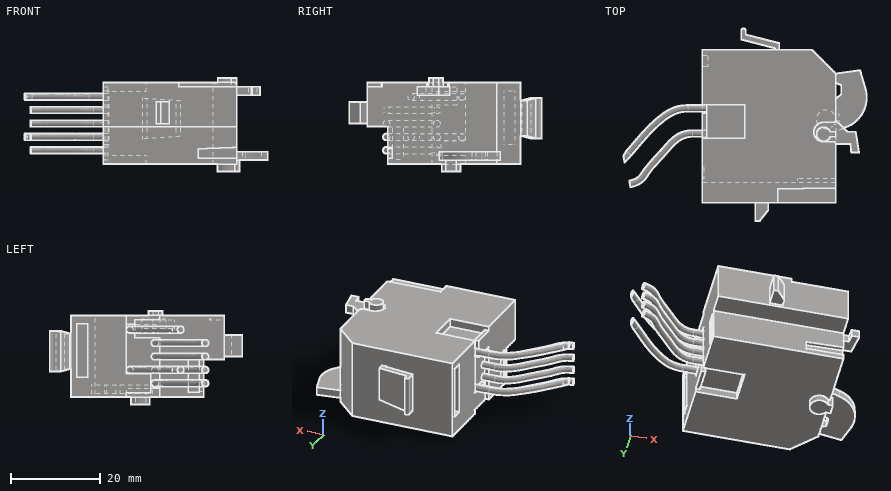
import cadquery as cq
import math


WIDTH = 29.95
DEPTH = 34.4
HEIGHT = 18.35
CORNER_CUT = 5.35
STEP_HEIGHT = 8.4
STEP_SETBACK = 4.6
RECESS = 1.0

PORT_Y0 = 14.5
PORT_Y1 = 22.05
PORT_POCKET_LENGTH = 9.5
PORT_POCKET_DEPTH = 2 * RECESS
TAB_WIDTH = 5.6
UPPER_TAB_HEIGHT = 4.1
LOWER_TAB_HEIGHT = 4.25

REAR_SLOT_Y = 30.6
REAR_SLOT_Z = 4.45
REAR_SLOT_HEIGHT = 12.0
REAR_SLOT_DEPTH = 1.25
FRONT_SLOT_Y = 5.6
FRONT_SLOT_Z = 1.15
FRONT_SLOT_DEPTH = 0.35
SLOT_WIDTH = 2.5

TOP_NOTCH_X = 16.95
TOP_NOTCH_Y_INNER = 3.15
TOP_NOTCH_Y_OUTER = 3.35
FRONT_NOTCH_X = 21.35
FRONT_NOTCH_Z = 1.3
FRONT_NOTCH_TOP_INNER = 3.45
FRONT_NOTCH_TOP_OUTER = 3.75

HOOK_X = 11.85
HOOK_WIDTH = 3.0
HOOK_TIP_WIDTH = 1.05
HOOK_REACH = 4.05
HOOK_FLANK = 1.6
HOOK_Z = 9.1
HOOK_HEIGHT = 4.9

CLIP_X = 8.75
CLIP_TIP_THICKNESS = 1.05
CLIP_ROOT_X = 17.3
CLIP_FOOT_WIDTH = 1.05
CLIP_FOOT_HEIGHT = 0.3
CLIP_REACH = 4.75
CLIP_TIP_ROUND = 0.5
CLIP_LIP_BASE = 3.4
CLIP_HEEL = 2.25
CLIP_ROOT_HEIGHT = 1.5
CLIP_Z0 = 5.75
CLIP_Z1 = 14.85
CLIP_TAPER = 0.6

LATCH_POCKET_X = 27.2
LATCH_POCKET_Y = 15.9
LATCH_POCKET_RADIUS = 2.2
LATCH_POCKET_FLARE = 0.35
LATCH_ARM_THICKNESS = 1.95
LATCH_ARM_OUTLINE = [
    (WIDTH, 18.5), (32.6, 16.0), (34.45, 16.0), (35.2, 11.25), (33.4, 11.25), (33.25, 13.2), (WIDTH, 13.2),
]
TOP_DISC_X = 27.2
TOP_DISC_Y = 15.4
TOP_DISC_RADIUS = 1.6
TOP_DISC_LUG_HALF = 0.6
TOP_DISC_RISE = 1.0

LEVER_Z0 = 0.95
LEVER_Z1 = 2.85
SECTOR_CORNER = (35.4, 29.8)
SECTOR_RIM_START = (36.6, 25.7)
SECTOR_RIM_MIDDLE = (36.55, 21.4)
SECTOR_RIM_END = (31.8, 16.85)
SECTOR_ROOT_Y = 16.2
SECTOR_WINDOW_X = 31.15
SECTOR_WINDOW_Y0 = 24.3
SECTOR_WINDOW_Y1 = 26.4
SECTOR_WINDOW_ROOT_Y0 = 23.45
SECTOR_WINDOW_ROOT_Y1 = 26.9
BOSS_X = 27.7
BOSS_Y = 18.8
BOSS_RADIUS = 2.15
BOSS_LUG_HALF = 1.2
BOSS_LUG_END = 30.6
BOSS_DROP = 1.65

WIRE_RADIUS = 0.75
WIRE_PITCH = 3.0
LOW_WIRE_Z = 3.1
REAR_WIRE_Y = 21.2
REAR_WIRE_LEVELS = [1, 4]
FRONT_WIRE_Y = 15.6
FRONT_WIRE_LEVELS = [0, 1, 2, 3]
WIRE_SLOPE = math.radians(49)
WIRE_END_ANGLE = math.radians(12)
REAR_WIRE_BEND_X = -3.3
REAR_WIRE_POINTS = [(-8.2, 19.55), (-11.4, 16.85), (-16.45, 11.15)]
REAR_WIRE_END = (-17.55, 9.8)
FRONT_WIRE_BEND_X = -2.2
FRONT_WIRE_POINTS = [(-5.45, 14.6), (-8.95, 11.1), (-12.5, 7.0), (-16.25, 4.25)]


def box(x0, x1, y0, y1, z0, z1):
    return cq.Workplane("XY").box(x1 - x0, y1 - y0, z1 - z0, centered=False).translate((x0, y0, z0))


def plate(outline, z0, z1):
    return cq.Workplane("XY").workplane(offset=z0).polyline(outline).close().extrude(z1 - z0)


def make_block():
    outline = [
        (0, 0), (WIDTH, 0), (WIDTH, DEPTH - CORNER_CUT), (WIDTH - CORNER_CUT, DEPTH), (0, DEPTH),
    ]
    block = plate(outline, 0, HEIGHT)
    return block.cut(box(0, WIDTH, 0, STEP_SETBACK, 0, STEP_HEIGHT))


def make_wire_port():
    """Volume removed for the wire port; the tabs are what remains of the channel."""
    channel = box(0, RECESS, PORT_Y0, PORT_Y1, 0, HEIGHT)
    pocket = box(0, PORT_POCKET_LENGTH, PORT_Y0, PORT_Y1, 0, PORT_POCKET_DEPTH)
    port = channel.union(pocket).union(pocket.translate((0, 0, HEIGHT - PORT_POCKET_DEPTH)))
    upper_tab_top = HEIGHT - RECESS
    upper_tab = box(0, RECESS, PORT_Y0, PORT_Y0 + TAB_WIDTH, upper_tab_top - UPPER_TAB_HEIGHT, upper_tab_top)
    lower_tab = box(0, RECESS, PORT_Y1 - TAB_WIDTH, PORT_Y1, RECESS, RECESS + LOWER_TAB_HEIGHT)
    return port.cut(upper_tab).cut(lower_tab)


def make_side_slots():
    rear = box(
        0, REAR_SLOT_DEPTH, REAR_SLOT_Y, REAR_SLOT_Y + SLOT_WIDTH,
        REAR_SLOT_Z, REAR_SLOT_Z + REAR_SLOT_HEIGHT,
    )
    front = box(0, FRONT_SLOT_DEPTH, FRONT_SLOT_Y, FRONT_SLOT_Y + SLOT_WIDTH, FRONT_SLOT_Z, STEP_HEIGHT)
    return rear.union(front)


def make_notches():
    top_outline = [
        (TOP_NOTCH_X, 0), (WIDTH, 0), (WIDTH, TOP_NOTCH_Y_OUTER), (TOP_NOTCH_X, TOP_NOTCH_Y_INNER),
    ]
    front_outline = [
        (FRONT_NOTCH_X, FRONT_NOTCH_Z), (WIDTH, FRONT_NOTCH_Z),
        (WIDTH, FRONT_NOTCH_TOP_OUTER), (FRONT_NOTCH_X, FRONT_NOTCH_TOP_INNER),
    ]
    front = (
        cq.Workplane("XZ", origin=(0, STEP_SETBACK, 0))
        .polyline(front_outline).close().extrude(-RECESS)
    )
    return plate(top_outline, HEIGHT - RECESS, HEIGHT).union(front)


def make_hook():
    right = HOOK_X + HOOK_WIDTH
    outline = [
        (HOOK_X, 0), (right, 0), (right, -HOOK_FLANK),
        (HOOK_X + HOOK_TIP_WIDTH, -HOOK_REACH), (HOOK_X, -HOOK_REACH),
    ]
    return plate(outline, HOOK_Z, HOOK_Z + HOOK_HEIGHT)


def make_clip():
    lip_right = CLIP_X + CLIP_TIP_THICKNESS
    shoulder = DEPTH + CLIP_REACH - CLIP_TIP_ROUND
    profile = (
        cq.Workplane("XY")
        .moveTo(CLIP_ROOT_X, DEPTH)
        .lineTo(CLIP_ROOT_X, DEPTH + CLIP_ROOT_HEIGHT)
        .lineTo(lip_right, DEPTH + CLIP_LIP_BASE)
        .lineTo(lip_right, shoulder)
        .threePointArc((CLIP_X + CLIP_TIP_THICKNESS / 2, DEPTH + CLIP_REACH), (CLIP_X, shoulder))
        .lineTo(CLIP_X, DEPTH + CLIP_HEEL)
        .lineTo(CLIP_ROOT_X - CLIP_FOOT_WIDTH, DEPTH + CLIP_FOOT_HEIGHT)
        .lineTo(CLIP_ROOT_X - CLIP_FOOT_WIDTH, DEPTH)
        .close().extrude(HEIGHT)
    )
    taper_outline = [
        (CLIP_X, CLIP_Z0), (CLIP_ROOT_X, CLIP_Z0 + CLIP_TAPER),
        (CLIP_ROOT_X, CLIP_Z1 - CLIP_TAPER), (CLIP_X, CLIP_Z1),
    ]
    taper = (
        cq.Workplane("XZ", origin=(0, DEPTH, 0))
        .polyline(taper_outline).close().extrude(-CLIP_REACH)
    )
    return profile.intersect(taper)


def make_latch_pocket():
    low = LATCH_POCKET_Y - LATCH_POCKET_RADIUS
    high = LATCH_POCKET_Y + LATCH_POCKET_RADIUS
    flare_x = WIDTH - LATCH_POCKET_FLARE
    return (
        cq.Workplane("XY").workplane(offset=HEIGHT - RECESS)
        .moveTo(LATCH_POCKET_X, low)
        .lineTo(flare_x, low)
        .lineTo(WIDTH, low - LATCH_POCKET_FLARE)
        .lineTo(WIDTH, high + LATCH_POCKET_FLARE)
        .lineTo(flare_x, high)
        .lineTo(LATCH_POCKET_X, high)
        .threePointArc((LATCH_POCKET_X - LATCH_POCKET_RADIUS, LATCH_POCKET_Y), (LATCH_POCKET_X, low))
        .close().extrude(RECESS)
    )


def keyed_disc(x, y, radius, lug_half, lug_end, z0, z1):
    """Round disc with a straight lug towards +X."""
    disc = cq.Workplane("XY", origin=(x, y, z0)).circle(radius).extrude(z1 - z0)
    return disc.union(box(x, lug_end, y - lug_half, y + lug_half, z0, z1))


def make_latch():
    floor = HEIGHT - RECESS
    arm = plate(LATCH_ARM_OUTLINE, floor - LATCH_ARM_THICKNESS, floor)
    disc = keyed_disc(
        TOP_DISC_X, TOP_DISC_Y, TOP_DISC_RADIUS, TOP_DISC_LUG_HALF, WIDTH,
        floor, HEIGHT + TOP_DISC_RISE,
    )
    return arm.union(disc)


def make_lever():
    sector = (
        cq.Workplane("XY").workplane(offset=LEVER_Z0)
        .moveTo(WIDTH, DEPTH - CORNER_CUT)
        .lineTo(*SECTOR_CORNER)
        .lineTo(*SECTOR_RIM_START)
        .threePointArc(SECTOR_RIM_MIDDLE, SECTOR_RIM_END)
        .lineTo(WIDTH, SECTOR_ROOT_Y)
        .lineTo(WIDTH, SECTOR_WINDOW_ROOT_Y0)
        .lineTo(SECTOR_WINDOW_X, SECTOR_WINDOW_Y0)
        .lineTo(SECTOR_WINDOW_X, SECTOR_WINDOW_Y1)
        .lineTo(WIDTH, SECTOR_WINDOW_ROOT_Y1)
        .close().extrude(LEVER_Z1 - LEVER_Z0)
    )
    boss = keyed_disc(
        BOSS_X, BOSS_Y, BOSS_RADIUS, BOSS_LUG_HALF, BOSS_LUG_END, -BOSS_DROP, LEVER_Z0,
    )
    return sector.union(boss)


def make_housing():
    housing = make_block()
    for cutter in (make_wire_port(), make_side_slots(), make_notches(), make_latch_pocket()):
        housing = housing.cut(cutter)
    for feature in (make_hook(), make_clip(), make_latch(), make_lever()):
        housing = housing.union(feature)
    return housing


def wire_direction(angle):
    """Direction towards -X, dipping towards -Y by the given angle."""
    return (-math.cos(angle), -math.sin(angle))


def make_wire(start_y, bend_x, points, end_angle):
    """Round wire from the port floor: a straight lead, then a smooth curve through the points."""
    bend_start = (bend_x, start_y)
    path = (
        cq.Workplane("XY").moveTo(RECESS, start_y)
        .lineTo(*bend_start)
        .spline([bend_start, *points], tangents=[wire_direction(0), wire_direction(end_angle)])
    )
    return cq.Workplane("YZ", origin=(RECESS, start_y, 0)).circle(WIRE_RADIUS).sweep(path)


def wire_section(point, angle):
    return cq.Wire.makeCircle(WIRE_RADIUS, cq.Vector(*point), cq.Vector(*wire_direction(angle)))


def make_rear_wire():
    """Wire whose short end piece turns from the wire slope to the end angle."""
    wire = make_wire(REAR_WIRE_Y, REAR_WIRE_BEND_X, REAR_WIRE_POINTS, WIRE_SLOPE)
    sections = [
        wire_section(REAR_WIRE_POINTS[-1], WIRE_SLOPE),
        wire_section(REAR_WIRE_END, WIRE_END_ANGLE),
    ]
    return wire.union(cq.Workplane(cq.Solid.makeLoft(sections, True)))


def make_front_wire():
    return make_wire(FRONT_WIRE_Y, FRONT_WIRE_BEND_X, FRONT_WIRE_POINTS, WIRE_END_ANGLE)


def wire_copies(wire, levels):
    return [wire.translate((0, 0, LOW_WIRE_Z + level * WIRE_PITCH)).val() for level in levels]


housing = make_housing()
rear_wires = wire_copies(make_rear_wire(), REAR_WIRE_LEVELS)
front_wires = wire_copies(make_front_wire(), FRONT_WIRE_LEVELS)

result = cq.Compound.makeCompound([housing.val(), *rear_wires, *front_wires])